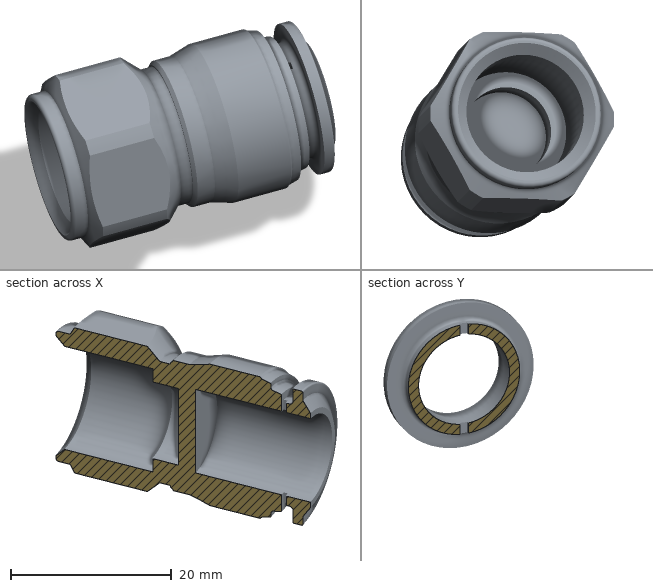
import cadquery as cq

LENGTH = 35.5

HEX_ACROSS_FLATS = 21.0
HEX_TURN = 30
HEX_CORNER_RADIUS = 11.6
HEX_START = 3.23
HEX_END = 11.68

COLLAR_RADIUS = 9.45
COLLAR_ROUND = 0.5
COLLAR_END = 2.02
NECK_RADIUS = 8.8
NECK_END = 15.98
NECK_START = HEX_END + HEX_CORNER_RADIUS - NECK_RADIUS

SLEEVE_CHAMFER = 0.45
SLEEVE_FOOT_END = 18.7
SLEEVE_RADIUS = 10.25
SLEEVE_TAPER_END = 21.5
SLEEVE_END = 28.45
SHOULDER_EDGE = 0.25
SHOULDER_END = 29.95
SHOULDER_TOP_RADIUS = 9.7
RING_FOOT_RADIUS = 9.0
RING_FOOT_HEIGHT = 0.18
RING_BASE_RADIUS = 8.77
RING_TOP_RADIUS = 8.5
RING_END = 31.5

COLLET_RADIUS = 7.42
FLANGE_ROUND = 0.5
FLANGE_START = 33.0
FLANGE_RADIUS = 9.73
FLANGE_END = 34.45
FLANGE_EDGE_ROUND = 0.2
CAP_BASE_RADIUS = 8.38
CAP_TOP_RADIUS = 6.78

WINDOW_WIDTH = 1.05
WINDOW_END = 32.05

MOUTH_RADIUS = 8.7
THREAD_RADIUS = 7.42
MOUTH_DEPTH = 1.28
THREAD_DEPTH = 13.5
RECESS_RADIUS = 5.5
RECESS_END = 17.05
SOCKET_RADIUS = 6.0
SOCKET_START = 19.52


def revolve_about_y(half_profile):
    return half_profile.close().revolve(360, (0, 0, 0), (0, 1, 0))


def hex_end():
    """Collar, hexagon and neck, up to the sleeve."""
    turned = revolve_about_y(
        cq.Workplane("XY")
        .moveTo(0, 0)
        .lineTo(COLLAR_RADIUS - COLLAR_ROUND, 0)
        .radiusArc((COLLAR_RADIUS, COLLAR_ROUND), -COLLAR_ROUND)
        .lineTo(COLLAR_RADIUS, COLLAR_END)
        .lineTo(HEX_CORNER_RADIUS, HEX_START)
        .lineTo(HEX_CORNER_RADIUS, HEX_END)
        .lineTo(NECK_RADIUS, NECK_START)
        .lineTo(NECK_RADIUS, NECK_END)
        .lineTo(0, NECK_END)
    )
    hexagon = (
        cq.Workplane("XZ")
        .polygon(6, HEX_ACROSS_FLATS, circumscribed=True)
        .extrude(-NECK_END)
        .rotate((0, 0, 0), (0, 1, 0), HEX_TURN)
    )
    return turned.intersect(hexagon)


def tube_end():
    """Sleeve, retaining ring, collet and flange."""
    return revolve_about_y(
        cq.Workplane("XY")
        .moveTo(0, NECK_END)
        .lineTo(COLLAR_RADIUS - SLEEVE_CHAMFER, NECK_END)
        .lineTo(COLLAR_RADIUS, NECK_END + SLEEVE_CHAMFER)
        .lineTo(COLLAR_RADIUS, SLEEVE_FOOT_END)
        .lineTo(SLEEVE_RADIUS, SLEEVE_TAPER_END)
        .lineTo(SLEEVE_RADIUS, SLEEVE_END)
        .lineTo(SLEEVE_RADIUS - SHOULDER_EDGE, SLEEVE_END + SHOULDER_EDGE)
        .lineTo(SHOULDER_TOP_RADIUS, SHOULDER_END)
        .lineTo(RING_FOOT_RADIUS, SHOULDER_END)
        .lineTo(RING_BASE_RADIUS, SHOULDER_END + RING_FOOT_HEIGHT)
        .lineTo(RING_TOP_RADIUS, RING_END)
        .lineTo(COLLET_RADIUS, RING_END)
        .lineTo(COLLET_RADIUS, FLANGE_START - FLANGE_ROUND)
        .radiusArc((COLLET_RADIUS + FLANGE_ROUND, FLANGE_START), FLANGE_ROUND)
        .lineTo(FLANGE_RADIUS, FLANGE_START)
        .lineTo(FLANGE_RADIUS, FLANGE_END - FLANGE_EDGE_ROUND)
        .radiusArc((FLANGE_RADIUS - FLANGE_EDGE_ROUND, FLANGE_END), -FLANGE_EDGE_ROUND)
        .lineTo(CAP_BASE_RADIUS, FLANGE_END)
        .lineTo(CAP_TOP_RADIUS, LENGTH)
        .lineTo(0, LENGTH)
    )


def thread_bore():
    """Countersunk threaded bore with a smaller recess in its floor."""
    return revolve_about_y(
        cq.Workplane("XY")
        .moveTo(0, 0)
        .lineTo(MOUTH_RADIUS, 0)
        .lineTo(THREAD_RADIUS, MOUTH_DEPTH)
        .lineTo(THREAD_RADIUS, THREAD_DEPTH)
        .lineTo(RECESS_RADIUS, THREAD_DEPTH)
        .lineTo(RECESS_RADIUS, RECESS_END)
        .lineTo(0, RECESS_END)
    )


def tube_socket():
    """Blind bore that receives the tube."""
    return (
        cq.Workplane("XZ", origin=(0, SOCKET_START, 0))
        .circle(SOCKET_RADIUS)
        .extrude(SOCKET_START - LENGTH)
    )


def collet_windows():
    """One bar along Z that opens a window in both sides of the collet."""
    height = WINDOW_END - RING_END
    return cq.Workplane("XY").box(WINDOW_WIDTH, height, 2 * FLANGE_RADIUS).translate(
        (0, RING_END + height / 2, 0)
    )


result = (
    hex_end()
    .union(tube_end())
    .cut(thread_bore())
    .cut(tube_socket())
    .cut(collet_windows())
)